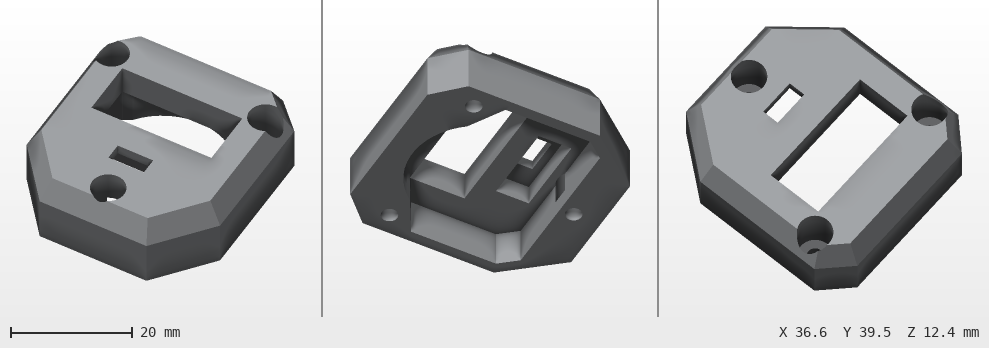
import cadquery as cq
import math

WIDTH = 36.6
LENGTH = 39.5
HEIGHT = 12.35
BACK_CORNER = 5.0
FRONT_CORNER_X = 8.2
FRONT_CORNER_Y = 10.0
BAND_HEIGHT = 4.0
BAND_ANGLE = 30.0

SCREW_DIAMETER = 2.9
SCREW_HEAD_DIAMETER = 6.0
SCREW_SEAT_Z = 3.0
BACK_SCREW_X = 14.55
BACK_SCREW_FROM_BACK = 8.0
FRONT_SCREW_FROM_FRONT = 5.0

WINDOW_WIDTH = 22.7
WINDOW_LENGTH = 10.2
WINDOW_FROM_BACK = 10.05
SLOT_WIDTH = 6.7
SLOT_LENGTH = 3.1
SLOT_CENTER_Y = -7.3
SLOT_ROOF = 1.85
SWITCH_SIDE_CLEARANCE = 4.0
SWITCH_END_CLEARANCE = 1.5

WALL = 2.0
ROOF = 5.6
FRONT_WALL_FROM_SCREW = 2.5
BOSS_WALL_FROM_SCREW = 3.45
BOSS_WALL_ANGLE = 30.0
ROUND_RADIUS = 12.4
ROUND_CENTER_Y = 2.95

half_width = WIDTH / 2
back_y = LENGTH / 2
front_y = -LENGTH / 2
back_screw_y = back_y - BACK_SCREW_FROM_BACK
front_screw_y = front_y + FRONT_SCREW_FROM_FRONT
cavity_height = HEIGHT - ROOF


def mirrored_outline(right_side):
    """Closed outline from its +X points, listed from front to back."""
    left_side = [(-x, y) for x, y in reversed(right_side)]
    return cq.Workplane("XY").polyline(right_side + left_side).close()


def body_outline():
    return mirrored_outline(
        [
            (half_width - FRONT_CORNER_X, front_y),
            (half_width, front_y + FRONT_CORNER_Y),
            (half_width, back_y - BACK_CORNER),
            (half_width - BACK_CORNER, back_y),
        ]
    )


def make_body():
    band_inset = BAND_HEIGHT * math.tan(math.radians(BAND_ANGLE))
    block = body_outline().extrude(HEIGHT)
    return block.faces(">Z").chamfer(BAND_HEIGHT, band_inset)


def make_cavity():
    """Space inside the walls, kept clear of the screws, with a round bay between the back screws."""
    slope = math.radians(BOSS_WALL_ANGLE)
    below_screw_y = back_screw_y - BOSS_WALL_FROM_SCREW / math.cos(slope)
    shoulder_x = ROUND_RADIUS / 2
    front_wall_y = front_screw_y + FRONT_WALL_FROM_SCREW
    side_y = below_screw_y - (half_width - BACK_SCREW_X) * math.tan(slope)
    shoulder_y = below_screw_y + (BACK_SCREW_X - shoulder_x) * math.tan(slope)

    inside_walls = body_outline().offset2D(-WALL, "intersection").extrude(cavity_height)
    between_screws = mirrored_outline(
        [(half_width, front_wall_y), (half_width, side_y), (shoulder_x, shoulder_y)]
    ).extrude(cavity_height)
    round_bay = cq.Workplane("XY").center(0, ROUND_CENTER_Y).circle(ROUND_RADIUS).extrude(cavity_height)
    return inside_walls.intersect(between_screws).union(round_bay)


def through_window(width, length, center_y):
    return cq.Workplane("XY").center(0, center_y).rect(width, length).extrude(HEIGHT)


def switch_pocket():
    return (
        cq.Workplane("XY")
        .center(0, SLOT_CENTER_Y)
        .rect(SLOT_WIDTH + 2 * SWITCH_SIDE_CLEARANCE, SLOT_LENGTH + 2 * SWITCH_END_CLEARANCE)
        .extrude(HEIGHT - SLOT_ROOF)
    )


def screw_hole(x, y):
    shank = cq.Workplane("XY").center(x, y).circle(SCREW_DIAMETER / 2).extrude(HEIGHT)
    head = (
        cq.Workplane("XY", origin=(0, 0, SCREW_SEAT_Z))
        .center(x, y)
        .circle(SCREW_HEAD_DIAMETER / 2)
        .extrude(HEIGHT - SCREW_SEAT_Z)
    )
    return shank.union(head)


result = make_body().cut(make_cavity()).cut(switch_pocket())
result = result.cut(through_window(WINDOW_WIDTH, WINDOW_LENGTH, back_y - WINDOW_FROM_BACK - WINDOW_LENGTH / 2))
result = result.cut(through_window(SLOT_WIDTH, SLOT_LENGTH, SLOT_CENTER_Y))
for screw_x, screw_y in [
    (-BACK_SCREW_X, back_screw_y),
    (BACK_SCREW_X, back_screw_y),
    (0, front_screw_y),
]:
    result = result.cut(screw_hole(screw_x, screw_y))